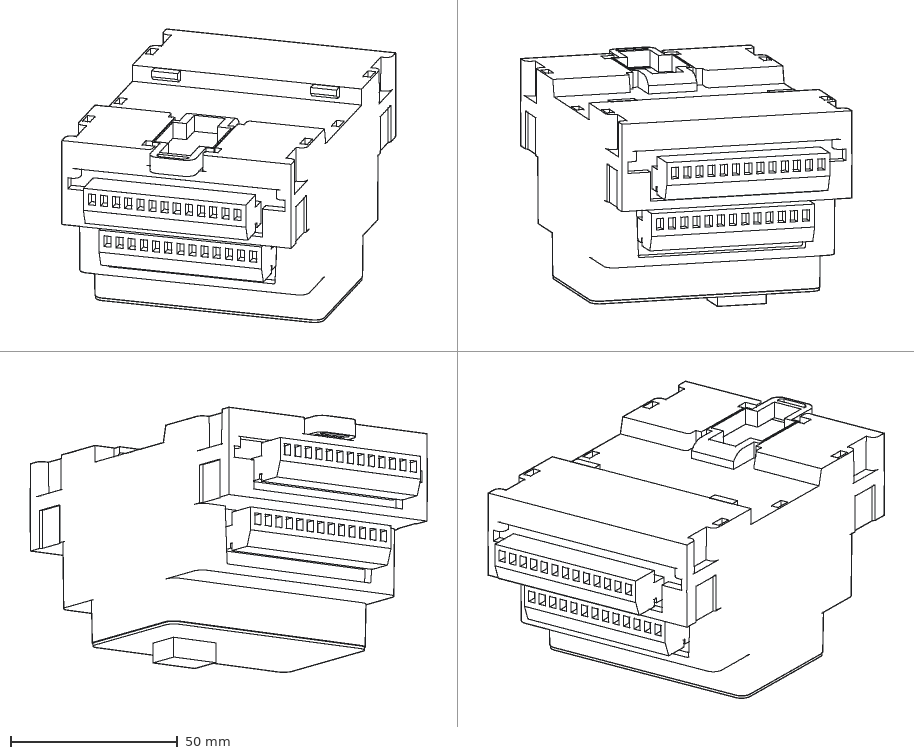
import cadquery as cq
import math

OVERSHOOT = 0.5
ARC_SAGITTA = 1 - math.sqrt(0.5)

width = 72.0
half_width = width / 2
upper_half_y = 52.75
upper_edge_half_y = 52.6
parting_depth = 15.1
upper_depth = 26.7
middle_half_y = 37.55
middle_end_half_y = 37.15
middle_depth = 47.0
lower_half_y = 22.4
lower_end_half_y = 22.0
lower_depth = 60.15
corner_radius = 3.1
seam_chamfer = 0.15

rail_depth = 5.1
rail_back_y = 18.4
rail_front_floor_y = -17.8
rail_front_y = -19.1
hook_centre_x = 24.95
hook_width = 8.2
hook_reach = 3.0
hook_top = 0.1
hook_bottom = 3.1
hook_chamfer = 1.15

notch_centre_y = 42.6
notch_half_top = 5.0
notch_half_floor = 4.7
notch_inset = 3.1
notch_depth = 10.6
notch_round = 2.0
recess_inner_y = 37.1
recess_outer_y = 47.75
recess_inset = 0.6
recess_slant = 0.8
slot_width = 2.4
slot_length = 5.1
slot_depth = 3.0
slot_centre_x = 34.1
slot_centres_y = (32.0, 0.5, -31.4)

plug_half_x = 25.5
plug_height = 11.75
plug_length = 9.9
plug_straight = 7.0
plug_taper = 1.85
neck_top = 3.95
neck_bottom = 9.4
base_bottom = 10.9
base_reach = 0.65
window_count = 13
window_pitch = 3.81
window_width = 2.2
window_height = 3.4
window_drop = 3.35
window_depth = 3.0
upper_plug_top = 10.05
upper_plug_end_y = 64.495
lower_plug_top = 28.65
lower_plug_end_y = 48.75

pocket_half_x = 27.0
upper_pocket_bottom = 24.0
upper_pocket_depth = 3.4
door_top = 8.5
door_step = 11.6
door_half_x = 30.8
door_round = 2.2
ledge_half_x = 34.05
lower_pocket_bottom = 44.25
lower_pocket_half_bottom = 26.1
lower_pocket_depth = 3.7
lower_pocket_round = 0.5

clip_nose_y = -14.05
clip_nose_rise = 2.6
clip_shoulder_y = -25.0
clip_waist_y = -45.9
clip_tip_y = -58.65
clip_nose_half = 7.6
clip_body_half = 9.63
clip_tail_half = 7.2
clip_tip_round = 3.0
opening_half = 4.86
opening_wide_half = 9.15
opening_start_y = -19.1
opening_wide_start_y = -26.95
opening_wide_end_y = -45.2
opening_end_y = -54.1
tip_slot_start_y = -55.7
tip_slot_end_y = -57.7
tip_slot_chamfer = 1.0
channel_wide_half = 11.9
channel_body_half = 9.87
channel_mouth_half = 7.9
channel_neck_y = -22.6
channel_pocket_start_y = -45.2
channel_pocket_end_y = -49.1
channel_rail_round = 1.0
channel_mouth_round = 1.4

overall_depth = 67.0
cover_depth = 60.95
cover_inset = seam_chamfer
block_centre_x = -15.45
block_width = 15.3
block_length = 11.1
block_centre_y = 1.0


def box(x0, x1, y0, y1, z0, z1):
    """Box between opposite corners."""
    return cq.Workplane("XY").box(x1 - x0, y1 - y0, z1 - z0, centered=False).translate((x0, y0, z0))


def along_x(points, half_length):
    """Prism of a (y, z) outline, centred on X = 0."""
    return cq.Workplane("YZ").polyline(points).close().extrude(half_length, both=True)


def both_ends(shape):
    """The shape together with its mirror image across the XZ plane."""
    return shape.union(shape.mirror("XZ"))


def both_sides(shape):
    """The shape together with its mirror image across the YZ plane."""
    return shape.union(shape.mirror("YZ"))


def upper_tier():
    """Top tier with a parting-line crease at each end and the rail recess across it."""
    outline = [
        (-upper_edge_half_y, 0),
        (rail_front_y, 0),
        (rail_front_floor_y, -rail_depth),
        (rail_back_y, -rail_depth),
        (rail_back_y, 0),
        (upper_edge_half_y, 0),
        (upper_half_y, -parting_depth),
        (upper_edge_half_y, -upper_depth),
        (-upper_edge_half_y, -upper_depth),
        (-upper_half_y, -parting_depth),
    ]
    return along_x(outline, half_width)


def rounded_tier(top, bottom, top_half_y, bottom_half_y):
    """Drafted tier with rounded upright edges."""
    outline = [(-top_half_y, -top), (top_half_y, -top), (bottom_half_y, -bottom), (-bottom_half_y, -bottom)]
    return along_x(outline, half_width).edges("not (|X or |Y)").fillet(corner_radius)


def rail_hooks():
    """Two lugs that reach over the rail from the back wall of the recess."""
    tip_y = rail_back_y - hook_reach
    outline = [
        (rail_back_y, -hook_top),
        (tip_y, -hook_top),
        (tip_y, hook_chamfer - hook_bottom),
        (tip_y + hook_chamfer, -hook_bottom),
        (rail_back_y, -hook_bottom),
    ]
    return both_sides(along_x(outline, hook_width / 2).translate((hook_centre_x, 0, 0)))


def notch_section(workplane, half):
    """Notch outline at one level, flared by convex rounds where it meets the side face."""
    flare = half + notch_round
    inner_x = notch_inset - half_width
    round_x = notch_round - half_width
    arc = notch_round * ARC_SAGITTA
    return (
        workplane.moveTo(-half_width - OVERSHOOT, -flare)
        .lineTo(-half_width, -flare)
        .threePointArc((arc - half_width, -flare + notch_round - arc), (round_x, -half))
        .lineTo(inner_x, -half)
        .lineTo(inner_x, half)
        .lineTo(round_x, half)
        .threePointArc((arc - half_width, flare - notch_round + arc), (-half_width, flare))
        .lineTo(-half_width - OVERSHOOT, flare)
        .close()
    )


def side_notches():
    """Four tapered notches open to the rail face and to the sides."""
    top = notch_section(cq.Workplane("XY"), notch_half_top)
    notch = notch_section(top.workplane(offset=-notch_depth), notch_half_floor).loft(ruled=True)
    return both_sides(both_ends(notch.translate((0, notch_centre_y, 0))))


def side_recesses():
    """Four shallow recesses with slanted ends, running down to the underside of the top tier."""
    outline = [
        (-half_width, recess_inner_y),
        (recess_inset - half_width, recess_inner_y + recess_slant),
        (recess_inset - half_width, recess_outer_y - recess_slant),
        (-half_width, recess_outer_y),
    ]
    height = upper_depth - parting_depth
    recess = cq.Workplane("XY", origin=(0, 0, -upper_depth)).polyline(outline).close().extrude(height)
    return both_sides(both_ends(recess))


def top_slots():
    """Blind slots along both long edges of the rail face and of the rail recess."""
    slots = cq.Workplane("XY")
    for y in slot_centres_y:
        top = 0 if y < rail_front_y or y > rail_back_y else -rail_depth
        slot = cq.Workplane("XY").box(slot_width, slot_length, 2 * slot_depth)
        slots = slots.union(slot.translate((slot_centre_x, y, top)))
    return both_sides(slots)


def upper_pockets():
    """Stepped door pockets in the ends of the top tier."""
    floor_y = upper_pocket_depth - upper_half_y
    outside_y = -upper_half_y - OVERSHOOT
    pocket = box(-pocket_half_x, pocket_half_x, outside_y, floor_y, -upper_pocket_bottom, -door_step)
    ledge = box(-ledge_half_x, ledge_half_x, outside_y, floor_y, -parting_depth, -door_step)
    face_y = -upper_half_y
    flare = door_half_x + door_round
    arc = door_round * ARC_SAGITTA
    door = (
        cq.Workplane("XY", origin=(0, 0, -door_step))
        .moveTo(-flare, outside_y)
        .lineTo(-flare, face_y)
        .threePointArc((-flare + door_round - arc, face_y + arc), (-door_half_x, face_y + door_round))
        .lineTo(-door_half_x, floor_y)
        .lineTo(door_half_x, floor_y)
        .lineTo(door_half_x, face_y + door_round)
        .threePointArc((flare - door_round + arc, face_y + arc), (flare, face_y))
        .lineTo(flare, outside_y)
        .close()
        .extrude(door_step - door_top)
    )
    return both_ends(pocket.union(ledge).union(door))


def lower_pockets():
    """Tapered pockets in the ends of the middle tier."""
    outline = [
        (-pocket_half_x, -upper_depth),
        (pocket_half_x, -upper_depth),
        (lower_pocket_half_bottom, -lower_pocket_bottom),
        (-lower_pocket_half_bottom, -lower_pocket_bottom),
    ]
    start_y = lower_pocket_depth - middle_half_y
    reach = lower_pocket_depth + OVERSHOOT
    pocket = cq.Workplane("XZ", origin=(0, start_y, 0)).polyline(outline).close().extrude(reach)
    return both_ends(pocket.edges("|Y and <Z").fillet(lower_pocket_round))


def connectors(top, end_y, face_y, pocket_depth):
    """Terminal plugs on their sockets, one at each end."""
    inner_y = end_y - plug_length
    floor_y = face_y - pocket_depth
    base_y = face_y + base_reach
    outline = [
        (floor_y, -top - neck_top),
        (inner_y, -top - neck_top),
        (inner_y, -top),
        (end_y, -top),
        (end_y, -top - plug_straight),
        (end_y - plug_taper, -top - plug_height),
        (inner_y, -top - plug_height),
        (inner_y, -top - neck_bottom),
        (base_y, -top - neck_bottom),
        (base_y, -top - base_bottom),
        (floor_y, -top - base_bottom),
    ]
    plug = along_x(outline, plug_half_x)
    windows = (
        cq.Workplane("XZ", origin=(0, end_y, -top - window_drop))
        .rarray(window_pitch, 1, window_count, 1)
        .rect(window_width, window_height)
        .extrude(window_depth)
    )
    return both_ends(plug.cut(windows))


def clip_channel():
    """Channel that holds the clip, open to the rail recess and to the front end."""
    top = OVERSHOOT
    lead = box(-channel_wide_half, channel_wide_half, channel_neck_y, rail_front_floor_y, -rail_depth, top)
    body = box(
        -channel_body_half, channel_body_half, channel_pocket_start_y, channel_neck_y, -rail_depth, top
    )
    pocket = box(
        -channel_wide_half, channel_wide_half, channel_pocket_end_y, channel_pocket_start_y, -rail_depth, top
    )
    outside_y = -upper_half_y - OVERSHOOT
    mouth = box(-channel_mouth_half, channel_mouth_half, outside_y, channel_pocket_end_y, -rail_depth, top)
    return lead.union(body).union(pocket).union(mouth)


def build_housing():
    """Stepped housing with its sockets and plugs, cut out for the rail and the clip."""
    body = upper_tier()
    body = body.cut(clip_channel())
    lead_corners = cq.selectors.BoxSelector(
        (-channel_wide_half - OVERSHOOT, rail_front_y - OVERSHOOT, -rail_depth - OVERSHOOT),
        (channel_wide_half + OVERSHOOT, rail_front_floor_y + OVERSHOOT, OVERSHOOT),
    )
    body = body.edges(lead_corners).edges("not (|X or |Y)").fillet(channel_rail_round)
    mouth_corners = cq.selectors.BoxSelector(
        (-channel_mouth_half - OVERSHOOT, -upper_half_y - OVERSHOOT, -rail_depth - OVERSHOOT),
        (channel_mouth_half + OVERSHOOT, -upper_half_y + OVERSHOOT, OVERSHOOT),
    )
    body = body.edges(mouth_corners).edges("not (|X or |Y)").fillet(channel_mouth_round)
    body = body.union(rounded_tier(upper_depth, middle_depth, middle_half_y, middle_end_half_y))
    lower = rounded_tier(middle_depth, lower_depth, lower_half_y, lower_end_half_y)
    body = body.union(lower.faces("<Z").chamfer(seam_chamfer))
    body = body.union(rail_hooks())
    for cutter in (side_notches(), side_recesses(), top_slots(), upper_pockets(), lower_pockets()):
        body = body.cut(cutter)
    body = body.union(connectors(upper_plug_top, upper_plug_end_y, upper_half_y, upper_pocket_depth))
    body = body.union(connectors(lower_plug_top, lower_plug_end_y, middle_half_y, lower_pocket_depth))
    return body


def build_clip():
    """Sliding frame with a rounded nose that catches the rail and a pull loop at its tip."""
    run = clip_nose_y - opening_start_y
    radius = (run**2 + clip_nose_rise**2) / (2 * clip_nose_rise)
    half_angle = math.asin(run / radius) / 2
    arc_middle = (
        opening_start_y + radius * math.sin(half_angle),
        radius * (math.cos(half_angle) - 1),
    )
    nose = box(-clip_nose_half, clip_nose_half, clip_shoulder_y, clip_nose_y, -rail_depth, 0)
    nose_cut = (
        cq.Workplane("YZ")
        .moveTo(opening_start_y, 0)
        .threePointArc(arc_middle, (clip_nose_y, -clip_nose_rise))
        .lineTo(clip_nose_y, 0)
        .close()
        .extrude(clip_nose_half, both=True)
    )
    middle = box(-clip_body_half, clip_body_half, clip_waist_y, clip_shoulder_y, -rail_depth, 0)
    tail = box(-clip_tail_half, clip_tail_half, clip_tip_y, clip_waist_y, -rail_depth, 0)
    tail = tail.edges("|Z and <Y").fillet(clip_tip_round)
    opening = box(-opening_half, opening_half, opening_end_y, opening_start_y, -rail_depth, 0)
    wide = box(
        -opening_wide_half, opening_wide_half, opening_wide_end_y, opening_wide_start_y, -rail_depth, 0
    )
    tip_slot = box(-opening_half, opening_half, tip_slot_end_y, tip_slot_start_y, -rail_depth, 0)
    tip_slot = tip_slot.edges("|Z and <Y").chamfer(tip_slot_chamfer)
    frame = nose.cut(nose_cut).union(middle).union(tail)
    return frame.cut(opening).cut(wide).cut(tip_slot)


def build_cover():
    """Thin front plate, set in slightly from the lower tier, with an offset block on it."""
    half_x = half_width - cover_inset
    half_y = lower_end_half_y - cover_inset
    plate = box(-half_x, half_x, -half_y, half_y, -cover_depth, -lower_depth)
    plate = plate.edges("|Z").fillet(corner_radius)
    block = box(
        block_centre_x - block_width / 2,
        block_centre_x + block_width / 2,
        block_centre_y - block_length / 2,
        block_centre_y + block_length / 2,
        -overall_depth,
        -cover_depth,
    )
    return plate.union(block)


housing = build_housing()
clip = build_clip()
cover = build_cover()
result = cq.Compound.makeCompound([body.solids().val() for body in (housing, clip, cover)])